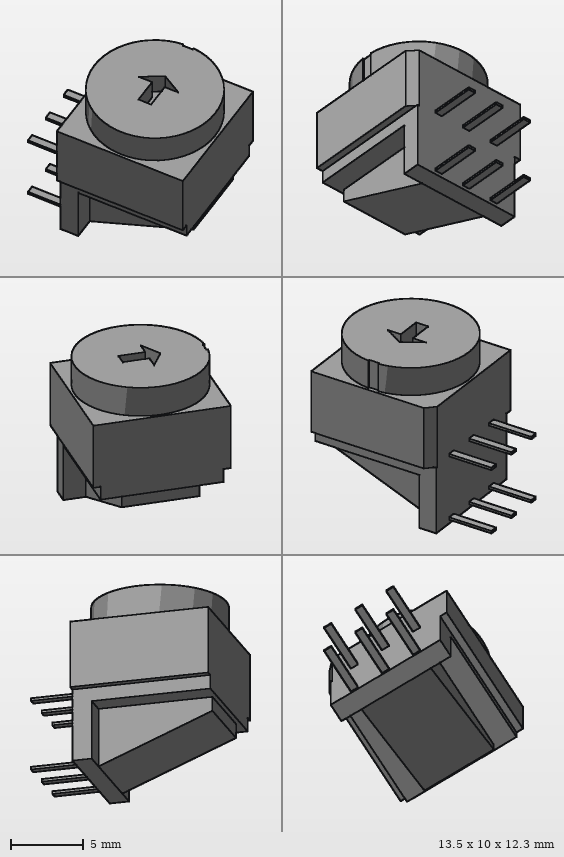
import cadquery as cq

body_side = 10.0
body_height = 4.85
body_corner_chamfer = 0.68
base_width = 8.95
plate_thickness = 1.0
leg_height = 4.25
leg_thickness = 1.4

wedge_width = 5.67
wedge_end_inset = 0.35
wedge_end_height = 1.03

knob_diameter = 9.6
knob_height = 2.2
notch_width = 0.8
notch_depth = 0.14

arrow_length = 2.89
arrow_head_length = 0.95
arrow_head_width = 3.16
arrow_shaft_width = 1.0
arrow_depth = 1.5

overall_length = 13.5
pin_width = 0.6
pin_thickness = 0.2
pin_pitch = 2.54
lowest_pin_height = 0.4
pin_row_spacing = 2 * pin_pitch

back_x = -body_side / 2
front_x = body_side / 2
plate_top = leg_height + plate_thickness
body_top = plate_top + body_height
knob_top = body_top + knob_height
pin_length = overall_length - body_side


def make_body():
    body = (
        cq.Workplane("XY")
        .workplane(offset=plate_top)
        .rect(body_side, body_side)
        .extrude(body_height)
    )
    return body.edges("|Z and <X and >Y").chamfer(body_corner_chamfer)


def make_base():
    """Plate under the body with a leg down its pin side."""
    return (
        cq.Workplane("XZ")
        .moveTo(back_x, 0)
        .lineTo(back_x + leg_thickness, 0)
        .lineTo(back_x + leg_thickness, leg_height)
        .lineTo(front_x, leg_height)
        .lineTo(front_x, plate_top)
        .lineTo(back_x, plate_top)
        .close()
        .extrude(base_width / 2, both=True)
    )


def make_wedge():
    wedge_end_x = front_x - wedge_end_inset
    return (
        cq.Workplane("XZ")
        .moveTo(back_x + leg_thickness, 0)
        .lineTo(wedge_end_x, leg_height - wedge_end_height)
        .lineTo(wedge_end_x, leg_height)
        .lineTo(back_x + leg_thickness, leg_height)
        .close()
        .extrude(wedge_width / 2, both=True)
    )


def make_knob():
    return (
        cq.Workplane("XY")
        .workplane(offset=body_top)
        .circle(knob_diameter / 2)
        .extrude(knob_height)
    )


def make_notch():
    """Cutter for the index notch down the full height of the knob; it straddles the rim radially."""
    return (
        cq.Workplane("XY")
        .workplane(offset=knob_top)
        .center(0, knob_diameter / 2)
        .rect(notch_width, 2 * notch_depth)
        .extrude(-knob_height)
    )


def make_arrow():
    """Cutter for the arrow slot, pointing to +Y."""
    tip_y = arrow_length / 2
    head_y = tip_y - arrow_head_length
    return (
        cq.Workplane("XY")
        .workplane(offset=knob_top)
        .moveTo(0, tip_y)
        .lineTo(arrow_head_width / 2, head_y)
        .lineTo(arrow_shaft_width / 2, head_y)
        .lineTo(arrow_shaft_width / 2, -tip_y)
        .lineTo(-arrow_shaft_width / 2, -tip_y)
        .lineTo(-arrow_shaft_width / 2, head_y)
        .lineTo(-arrow_head_width / 2, head_y)
        .close()
        .extrude(-arrow_depth)
    )


def make_pins():
    """Two rows of three flat pins standing out toward -X."""
    upper_pin_height = lowest_pin_height + pin_row_spacing
    pin_centers = [
        (y, z)
        for y in (-pin_pitch, 0, pin_pitch)
        for z in (lowest_pin_height, upper_pin_height)
    ]
    return (
        cq.Workplane("YZ")
        .workplane(offset=back_x)
        .pushPoints(pin_centers)
        .rect(pin_width, pin_thickness)
        .extrude(-pin_length)
    )


knob = make_knob().cut(make_notch()).cut(make_arrow())
result = make_body().union(make_base()).union(make_wedge()).union(knob).union(make_pins())